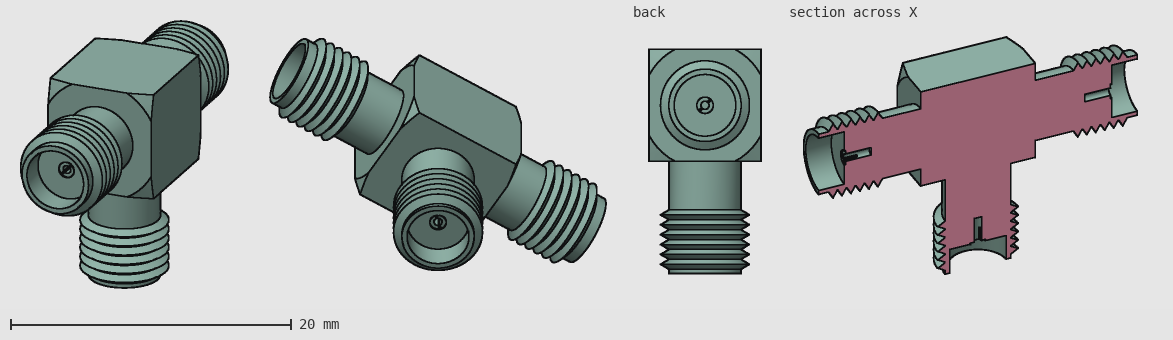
import cadquery as cq

BLOCK_SIDE = 8.0
BLOCK_LENGTH = 8.99
CHAMFER_START_RADIUS = 4.53
CHAMFER_SLOPE = 0.39

ARM_LENGTH = 8.0
NECK_RADIUS = 5.16 / 2
THREAD_RADIUS = 6.35 / 2
THREAD_PITCH = 0.705
THREAD_COUNT = 6
SIDE_ARM_TIP = 0.78
BOTTOM_ARM_TIP = 0.32

BORE_RADIUS = 4.4 / 2
BORE_DEPTH = 2.0
CONTACT_RADIUS = 1.17 / 2
CONTACT_RECESS = 0.1
CONTACT_HOLE_RADIUS = 0.58 / 2
CONTACT_HOLE_DEPTH = 2.0
CONTACT_SLOT_WIDTH = 0.12
CONTACT_SLOT_DEPTH = 1.0
CONTACT_SLOT_ANGLE = 45

ARM_OVERLAP = 1.0


def make_block():
    """Square block along Y whose end corners are turned down by a shallow cone."""
    block = cq.Workplane("XY").box(BLOCK_SIDE, BLOCK_LENGTH, BLOCK_SIDE)
    half_length = BLOCK_LENGTH / 2
    outer_radius = BLOCK_SIDE
    cone_drop = CHAMFER_SLOPE * (outer_radius - CHAMFER_START_RADIUS)
    turned_envelope = (
        cq.Workplane("XY")
        .moveTo(0, -half_length)
        .lineTo(CHAMFER_START_RADIUS, -half_length)
        .lineTo(outer_radius, -half_length + cone_drop)
        .lineTo(outer_radius, half_length - cone_drop)
        .lineTo(CHAMFER_START_RADIUS, half_length)
        .lineTo(0, half_length)
        .close()
        .revolve(360, (0, 0, 0), (0, 1, 0))
    )
    return block.intersect(turned_envelope)


def make_arm(tip_length):
    """Threaded arm pointing along +Z, with its root face at z = 0."""
    thread_end = ARM_LENGTH - tip_length
    thread_start = thread_end - THREAD_COUNT * THREAD_PITCH
    profile = (
        cq.Workplane("XZ")
        .moveTo(0, -ARM_OVERLAP)
        .lineTo(NECK_RADIUS, -ARM_OVERLAP)
        .lineTo(NECK_RADIUS, thread_start)
    )
    for index in range(THREAD_COUNT):
        root = thread_start + index * THREAD_PITCH
        profile = profile.lineTo(THREAD_RADIUS, root + THREAD_PITCH / 2)
        profile = profile.lineTo(NECK_RADIUS, root + THREAD_PITCH)
    profile = profile.lineTo(NECK_RADIUS, ARM_LENGTH).lineTo(0, ARM_LENGTH).close()
    return profile.revolve(360, (0, 0, 0), (0, 1, 0))


def cylinder_below(top, radius, depth):
    """Cylinder on the Z axis reaching down by depth from z = top."""
    return cq.Workplane("XY").workplane(offset=top - depth).circle(radius).extrude(depth)


def make_socket():
    """Cavity of an arm pointing along +Z: bore, recessed contact end, contact hole and slot."""
    floor = ARM_LENGTH - BORE_DEPTH
    contact_end = floor - CONTACT_RECESS
    bore = cylinder_below(ARM_LENGTH, BORE_RADIUS, BORE_DEPTH)
    recess = cylinder_below(floor, CONTACT_RADIUS, CONTACT_RECESS)
    hole = cylinder_below(contact_end, CONTACT_HOLE_RADIUS, CONTACT_HOLE_DEPTH)
    slot_blank = (
        cq.Workplane("XY")
        .workplane(offset=contact_end - CONTACT_SLOT_DEPTH)
        .rect(2 * BORE_RADIUS, CONTACT_SLOT_WIDTH)
        .extrude(CONTACT_SLOT_DEPTH)
        .rotate((0, 0, 0), (0, 0, 1), CONTACT_SLOT_ANGLE)
    )
    slot = slot_blank.intersect(cylinder_below(contact_end, CONTACT_RADIUS, CONTACT_SLOT_DEPTH))
    return bore.union(recess).union(hole).union(slot)


def place(shape, angle_about_x, face_distance):
    """Move a +Z shape out to a block face and swing it about the X axis."""
    return shape.translate((0, 0, face_distance)).rotate((0, 0, 0), (1, 0, 0), angle_about_x)


ARMS = [
    (90, BLOCK_LENGTH / 2, SIDE_ARM_TIP),
    (-90, BLOCK_LENGTH / 2, SIDE_ARM_TIP),
    (180, BLOCK_SIDE / 2, BOTTOM_ARM_TIP),
]

result = make_block()
for angle, distance, tip in ARMS:
    result = result.union(place(make_arm(tip), angle, distance))
for angle, distance, _ in ARMS:
    result = result.cut(place(make_socket(), angle, distance))